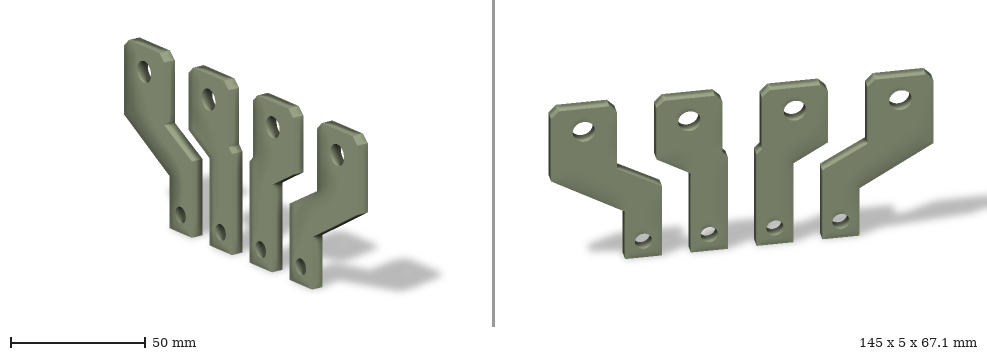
import cadquery as cq

overall_width = 145.0
thickness = 5.0
height = 67.1

head_width = 25.0
head_chamfer = 2.9
head_hole_diameter = 8.5
head_hole_drop = 10.0
head_pitch = 40.0

foot_width = 14.0
foot_hole_diameter = 6.5
foot_hole_height = 7.0
foot_pitch = 25.0

outer_head_side_end = 37.0
outer_foot_side_end = 20.6
outer_head_inner_end = 39.6
outer_foot_inner_end = 30.0
inner_head_side_end = 41.9
inner_foot_side_end = 34.4
inner_head_inner_end = 41.9
inner_foot_inner_end = 39.7

outer_head_x = (head_width - overall_width) / 2
inner_head_x = outer_head_x + head_pitch
inner_foot_x = -foot_pitch / 2
outer_foot_x = inner_foot_x - foot_pitch


def cranked_bar(side, head_x, foot_x, head_side_end, foot_side_end, head_inner_end, foot_inner_end):
    """Flat cranked bar; side is 1 for the left-hand form and -1 for its mirror image."""
    head_outer = head_x - head_width / 2
    head_inner = head_x + head_width / 2
    foot_outer = foot_x - foot_width / 2
    foot_inner = foot_x + foot_width / 2
    outline = [
        (foot_outer, 0),
        (foot_inner, 0),
        (foot_inner, foot_inner_end),
        (head_inner, head_inner_end),
        (head_inner, height - head_chamfer),
        (head_inner - head_chamfer, height),
        (head_outer + head_chamfer, height),
        (head_outer, height - head_chamfer),
        (head_outer, head_side_end),
        (foot_outer, foot_side_end),
    ]
    bar_profile = cq.Workplane("XZ").polyline([(side * x, z) for x, z in outline]).close()
    bar = bar_profile.extrude(thickness)

    holes = [
        (head_x, height - head_hole_drop, head_hole_diameter),
        (foot_x, foot_hole_height, foot_hole_diameter),
    ]
    for x, z, diameter in holes:
        hole = cq.Workplane("XZ").center(side * x, z).circle(diameter / 2)
        bar = bar.cut(hole.extrude(thickness))
    return bar


def outer_bar(side):
    return cranked_bar(
        side, outer_head_x, outer_foot_x,
        outer_head_side_end, outer_foot_side_end, outer_head_inner_end, outer_foot_inner_end,
    )


def inner_bar(side):
    return cranked_bar(
        side, inner_head_x, inner_foot_x,
        inner_head_side_end, inner_foot_side_end, inner_head_inner_end, inner_foot_inner_end,
    )


bars = []
for side in (1, -1):
    bars.append(outer_bar(side).val())
    bars.append(inner_bar(side).val())

result = cq.Compound.makeCompound(bars)